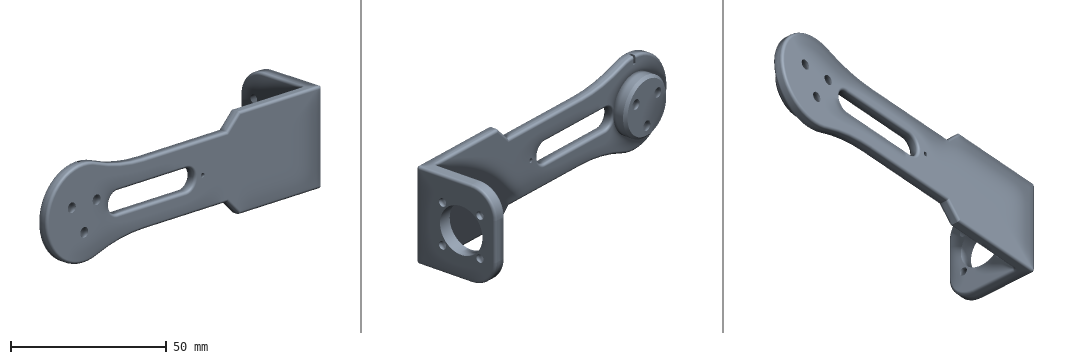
import cadquery as cq
import math


arm_thickness = 4.0
head_radius = 17.0
total_length = 124.6
base_height = 35.0
base_length = 37.3
arm_height = 24.0
neck_radius = 60.0

flange_width = 32.5
flange_thickness = 5.0
flange_corner_radius = 10.0

edge_radius = 1.0
bend_radius = 1.0

bore_diameter = 17.5
bore_offset = 18.5
screw_spacing = 15.4
screw_diameter = 3.0

boss_diameter = 22.0
boss_height = 5.0
boss_chamfer = 1.0
boss_hole_diameter = 3.6
boss_hole_circle_radius = 6.5
boss_hole_angles = (30, 150, 270)

slot_height = 8.0
slot_start = 11.3
slot_end = 50.1
pilot_diameter = 1.6
pilot_position = 53.6
notch_width = 1.0
notch_length = 3.0
notch_depth = 2.0

flange_outer_y = total_length - head_radius
flange_inner_y = flange_outer_y - flange_thickness
arm_inner_x = -arm_thickness
base_half = base_height / 2
arm_half = arm_height / 2
base_end_y = flange_outer_y - base_length
taper_end_y = base_end_y - (base_half - arm_half)

neck_center_z = arm_half + neck_radius
neck_start_y = math.sqrt((head_radius + neck_radius) ** 2 - neck_center_z ** 2)
head_share = head_radius / (head_radius + neck_radius)
neck_end_y = neck_start_y * head_share
neck_end_z = neck_center_z * head_share
neck_mid_angle = (math.pi / 2 + math.atan2(neck_center_z, neck_start_y)) / 2
neck_mid_y = neck_start_y - neck_radius * math.cos(neck_mid_angle)
neck_mid_z = neck_center_z - neck_radius * math.sin(neck_mid_angle)


def make_arm():
    """Arm plate: wide base, 45 degree tapers, narrow arm, flared round head."""
    outline = (
        cq.Workplane("YZ")
        .moveTo(flange_outer_y, base_half)
        .lineTo(base_end_y, base_half)
        .lineTo(taper_end_y, arm_half)
        .lineTo(neck_start_y, arm_half)
        .threePointArc((neck_mid_y, neck_mid_z), (neck_end_y, neck_end_z))
        .threePointArc((-head_radius, 0), (neck_end_y, -neck_end_z))
        .threePointArc((neck_mid_y, -neck_mid_z), (neck_start_y, -arm_half))
        .lineTo(taper_end_y, -arm_half)
        .lineTo(base_end_y, -base_half)
        .lineTo(flange_outer_y, -base_half)
        .close()
    )
    return outline.extrude(-arm_thickness)


def make_flange():
    """Flange plate with its two free corners rounded."""
    return (
        cq.Workplane("XY")
        .box(flange_width, flange_thickness, base_height)
        .translate((-flange_width / 2, flange_outer_y - flange_thickness / 2, 0))
        .edges("|Y and <X")
        .fillet(flange_corner_radius)
    )


def make_bracket():
    """Arm and flange joined, with the inner bend and every outline edge rounded."""
    bend_edge = cq.selectors.NearestToPointSelector((arm_inner_x, flange_inner_y, 0))
    bracket = make_arm().union(make_flange()).edges(bend_edge).fillet(bend_radius)
    outer_edges = bracket.faces(">X or >Y").edges()
    bracket = outer_edges.fillet(edge_radius)
    inner_face = cq.selectors.NearestToPointSelector((arm_inner_x, 0, 0))
    return bracket.faces("|X").faces(inner_face).edges("not |Z").fillet(edge_radius)


def arm_cylinder(diameter, x_start, x_end, y, z):
    """Cylinder along X between two X positions."""
    return (
        cq.Workplane("YZ", origin=(x_start, y, z))
        .circle(diameter / 2)
        .extrude(x_end - x_start)
    )


def add_boss(body):
    """Round boss with a chamfered rim and three holes through boss and arm."""
    boss_face_x = arm_inner_x - boss_height
    boss = arm_cylinder(boss_diameter, boss_face_x, arm_inner_x, 0, 0)
    body = body.union(boss.faces("<X").chamfer(boss_chamfer))
    for angle in boss_hole_angles:
        y = boss_hole_circle_radius * math.cos(math.radians(angle))
        z = boss_hole_circle_radius * math.sin(math.radians(angle))
        body = body.cut(arm_cylinder(boss_hole_diameter, boss_face_x, 0, y, z))
    return body


def cut_slot(body):
    """Long round-ended slot with both rims rounded over."""
    slot_length = slot_end - slot_start
    slot = (
        cq.Workplane("YZ", origin=(0, (slot_start + slot_end) / 2, 0))
        .slot2D(slot_length, slot_height)
        .extrude(-arm_thickness)
    )
    rims = cq.selectors.BoxSelector(
        (arm_inner_x - edge_radius, slot_start - edge_radius, -slot_height),
        (edge_radius, slot_end + edge_radius, slot_height),
    )
    return body.cut(slot).edges(rims).edges("not |X").fillet(edge_radius)


def cut_pilot_hole(body):
    """Small through hole just beyond the slot."""
    return body.cut(arm_cylinder(pilot_diameter, arm_inner_x, 0, pilot_position, 0))


def cut_notch(body):
    """Index notch in the +Z rim of the head, open to the inner face."""
    notch = (
        cq.Workplane("XY")
        .box(notch_depth, notch_width, notch_length)
        .translate((arm_inner_x + notch_depth / 2, 0, head_radius - notch_length / 2))
    )
    return body.cut(notch)


def cut_motor_opening(body):
    """Bore and four screw holes through the flange."""
    flange_plane = cq.Workplane("XZ", origin=(-bore_offset, flange_outer_y, 0))
    bore = flange_plane.circle(bore_diameter / 2).extrude(flange_thickness)
    screws = (
        flange_plane.rarray(screw_spacing, screw_spacing, 2, 2)
        .circle(screw_diameter / 2)
        .extrude(flange_thickness)
    )
    return body.cut(bore).cut(screws)


result = make_bracket()
result = cut_slot(result)
result = add_boss(result)
result = cut_pilot_hole(result)
result = cut_notch(result)
result = cut_motor_opening(result)